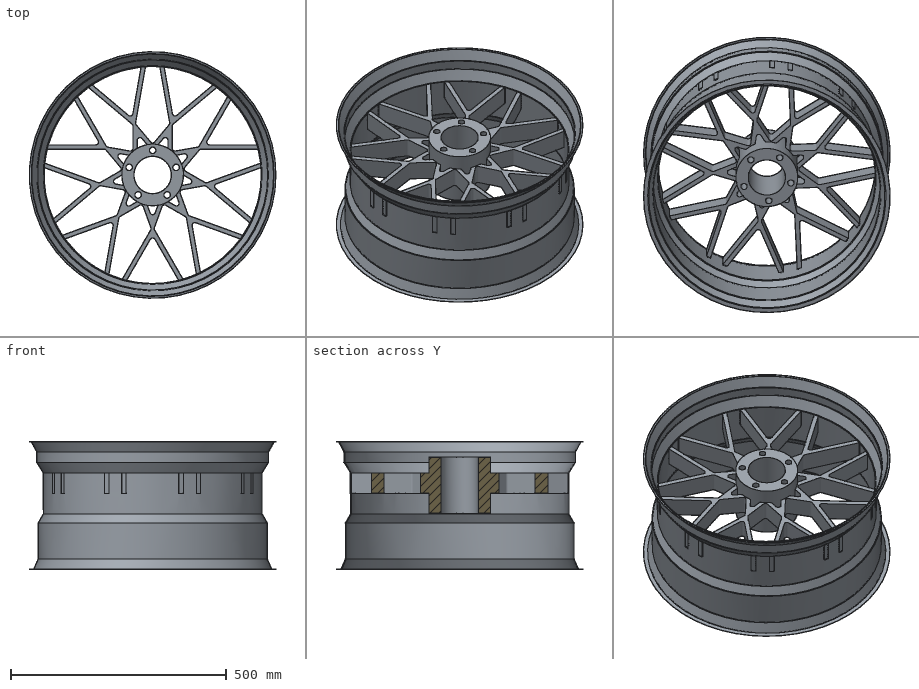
import cadquery as cq
import math

rim_height = 296.09
upper_seat_top = 272.1
upper_seat_bottom = 248.1
barrel_top = 223.8
barrel_bottom = 128.3
lower_seat_top = 107.6
lower_seat_bottom = 24.2

flange_radius = 285.75
upper_cone_radius = 281.4
upper_seat_radius = 268.9
barrel_radius = 253.8
lower_seat_radius = 265.6
lower_cone_radius = 276.0
wall_thickness = 2.5
lip_thickness = 0.8
upper_lip_inner_radius = 280.0

hub_radius = 71.5
hub_bore_radius = 43.0
hub_bottom = 130.0
hub_top = 260.0
bolt_count = 5
first_bolt_angle = 90.0
bolt_circle_radius = 114.3 / 2
bolt_hole_radius = 7.25

spoke_count = 9
first_spoke_angle = -90.0
spoke_width = 10.4
spoke_bottom = 176.2
spoke_top = barrel_top
spoke_fillet = 6.0
inner_leg_angle = 20.0
inner_leg_offset = 40.5
outer_leg_angle = 30.0
outer_leg_offset = 64.8
spoke_proud = 0.25

hub_overlap_radius = (hub_radius + hub_bore_radius) / 2


def make_rim():
    """Thin revolved shell with a flat lip at the top and at the bottom."""
    outer_wall = [
        (lower_cone_radius, lip_thickness),
        (lower_seat_radius, lower_seat_bottom),
        (lower_seat_radius, lower_seat_top),
        (barrel_radius, barrel_bottom),
        (barrel_radius, barrel_top),
        (upper_seat_radius, upper_seat_bottom),
        (upper_seat_radius, upper_seat_top),
        (upper_cone_radius, rim_height - lip_thickness),
    ]
    inner_wall = [(radius - wall_thickness, z) for radius, z in outer_wall]
    inner_wall[0] = (lower_cone_radius - wall_thickness, 0)
    inner_wall[-1] = (upper_lip_inner_radius, rim_height)
    bottom_lip = [(flange_radius, 0), (flange_radius, lip_thickness)]
    top_lip = [(flange_radius, rim_height - lip_thickness), (flange_radius, rim_height)]
    profile = bottom_lip + outer_wall + top_lip + inner_wall[::-1]
    return cq.Workplane("XZ").polyline(profile).close().revolve(360, (0, 0), (0, 1))


def inner_leg_point(offset, along):
    """Point on a line `offset` from the wheel axis that converges on the spoke axis (local +X)."""
    angle = math.radians(inner_leg_angle)
    x = offset * math.sin(angle) + along * math.cos(angle)
    y = offset * math.cos(angle) - along * math.sin(angle)
    return (x, y)


def outer_leg_point(offset, along):
    """Point on a line `offset` from the wheel axis that diverges from the spoke axis (local +X)."""
    angle = math.radians(outer_leg_angle)
    x = offset * math.sin(angle) + along * math.cos(angle)
    y = along * math.sin(angle) - offset * math.cos(angle)
    return (x, y)


def make_spoke():
    """One spoke along +X with sharp corners, symmetric about the XZ plane."""
    half_width = spoke_width / 2
    inner_near = inner_leg_offset - half_width
    inner_far = inner_leg_offset + half_width
    outer_near = outer_leg_offset - half_width
    outer_far = outer_leg_offset + half_width

    inner_tangent = math.tan(math.radians(inner_leg_angle))
    outer_tangent = math.tan(math.radians(outer_leg_angle))
    hub_fork = (inner_near / math.sin(math.radians(inner_leg_angle)), 0)
    rim_fork = (outer_far / math.sin(math.radians(outer_leg_angle)), 0)

    inner_crossing = inner_far / math.sin(math.radians(inner_leg_angle))
    outer_crossing = outer_near / math.sin(math.radians(outer_leg_angle))
    waist_x = inner_crossing * inner_tangent + outer_crossing * outer_tangent
    waist_x /= inner_tangent + outer_tangent
    waist_y = (inner_crossing - waist_x) * inner_tangent

    side = [
        inner_leg_point(inner_near, 0),
        inner_leg_point(inner_far, 0),
        (waist_x, waist_y),
        outer_leg_point(outer_near, flange_radius),
        outer_leg_point(outer_far, flange_radius),
    ]
    mirrored_side = [(x, -y) for x, y in reversed(side)]
    outline = [hub_fork] + side + [rim_fork] + mirrored_side
    return (
        cq.Workplane("XY")
        .workplane(offset=spoke_bottom)
        .polyline(outline)
        .close()
        .extrude(spoke_top - spoke_bottom)
    )


def make_ring(inner_radius, outer_radius, bottom, top):
    return (
        cq.Workplane("XY")
        .workplane(offset=bottom)
        .circle(outer_radius)
        .circle(inner_radius)
        .extrude(top - bottom)
    )


def is_visible_corner(edge):
    """True for edges outside the part of the spokes buried in the hub and inside the barrel."""
    center = edge.Center()
    return hub_overlap_radius < math.hypot(center.x, center.y) < barrel_radius


def make_spokes():
    """All spokes joined, with their corners rounded, trimmed between hub and barrel."""
    spoke = make_spoke()
    spokes = cq.Workplane("XY")
    for i in range(spoke_count):
        axis_angle = first_spoke_angle + i * 360 / spoke_count
        spokes = spokes.union(spoke.rotate((0, 0, 0), (0, 0, 1), axis_angle))

    spokes = spokes.edges("|Z").filter(is_visible_corner).fillet(spoke_fillet)
    return spokes.intersect(
        make_ring(hub_overlap_radius, barrel_radius + spoke_proud, spoke_bottom, spoke_top)
    )


def make_hub():
    return make_ring(hub_bore_radius, hub_radius, hub_bottom, hub_top)


def make_bolt_holes():
    """Cutters for the circle of through holes for the wheel bolts."""
    return (
        cq.Workplane("XY")
        .workplane(offset=hub_bottom)
        .polarArray(bolt_circle_radius, first_bolt_angle, 360, bolt_count)
        .circle(bolt_hole_radius)
        .extrude(hub_top - hub_bottom)
    )


result = make_rim().union(make_spokes()).union(make_hub()).cut(make_bolt_holes())